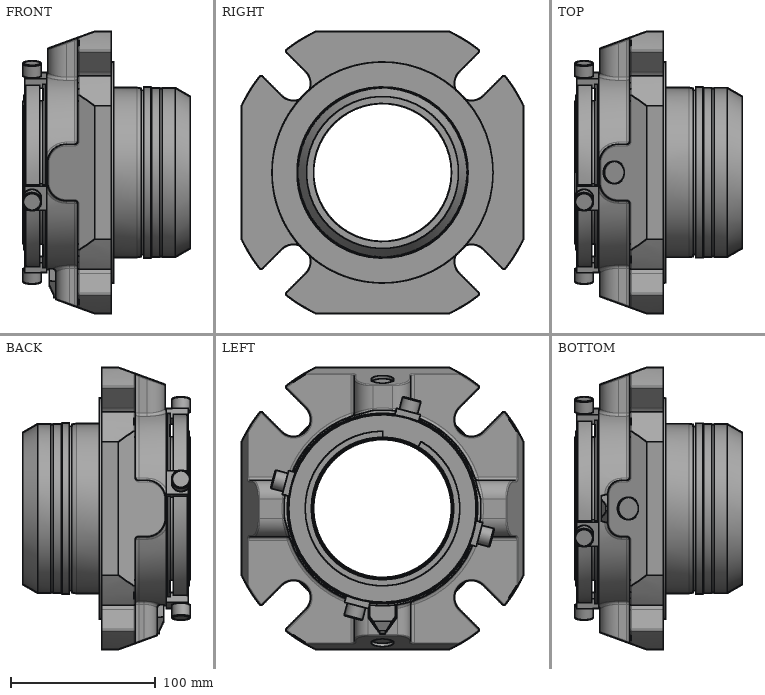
import cadquery as cq
import math

total_length = 116.0
flange_size = 194.8

flange_front = 38.2
flange_back = 61.4
slope_start = 49.7
slope_angle = 20.0
corner_radius = 107.7
edge_round = 1.0
tip_round = 1.2

slot_radius = 11.7
slot_center_radius = 86.9

housing_front = 16.8
housing_radius = 67.2
lip_front = 14.0
lip_back = 15.8
lip_radius = 65.8
lip_groove_radius = 65.0
root_fillet = 2.3

boss_front = 17.3
bottom_boss_front = 23.0
boss_half_width = 19.5
boss_corner_radius = 12.7
bottom_boss_corner_radius = 9.4
boss_inner_radius = 60.4
boss_base = flange_front + 5.8
port_diameter = 15.4
port_depth = 2.3
top_port_x = 27.0
bottom_port_x = 36.8

shield_front = 18.3
shield_half_width = 10.0
shield_shoulder_z = -75.2
shield_tip_z = -86.7
shield_tip_half_width = 1.5
shield_draft = 14.0
shield_bevel_start_z = -78.0
shield_bevel_end_x = 21.5
shield_bevel_end_z = -84.4

bore_radius = 47.5
bore_chamfer = 1.0
sleeve_tip_diameter = 98.4
sleeve_tip_radius = sleeve_tip_diameter / 2
sleeve_diameter = 99.2
sleeve_radius = sleeve_diameter / 2
snap_ring_front = 0.8
snap_ring_radius = 53.4
snap_ring_gap_angle = 30.0
lock_ring_front = 1.4
lock_ring_back = 11.9
lock_ring_radius = 65.0
lock_ring_lead_length = 1.0
lock_ring_lead_radius = 64.7

clip_count = 4
clip_angle = 15.0
clip_width = 17.1
clip_inner_radius = 62.3
clip_outer_radius = 69.4
screw_diameter = 13.0
screw_end_radius = 78.3
screw_chamfer = 0.5

gasket_back = 63.1
gasket_radius = 76.4
tube_diameter = 117.5
tube_radius = tube_diameter / 2
collar_diameter = 118.3
collar_radius = collar_diameter / 2
tube_tail_diameter = 117.0
tube_tail_radius = tube_tail_diameter / 2
tube_chamfer_start = 78.9
tube_chamfer_radius = 58.3
groove_front = 81.8
groove_back = 83.5
groove_radius = 56.9
collar_back = 88.5
tail_start = 89.2
tail_groove_front = 94.7
tail_groove_back = 96.5
tail_groove_diameter = 116.1
tail_groove_radius = tail_groove_diameter / 2
tail_chamfer_start = 105.4
tail_chamfer_angle = 30.0

tolerance = 0.02


def turn(shape, angle):
    """Rotate a shape about the X axis."""
    return shape.rotate((0, 0, 0), (1, 0, 0), angle)


def revolve_x(points):
    """Revolve a closed outline of (x, radius) points about the X axis."""
    return cq.Workplane("XY").polyline(points).close().revolve(360, (0, 0, 0), (1, 0, 0))


def cylinder_x(radius, x_start, x_end):
    """Solid cylinder on the X axis."""
    return cq.Workplane("YZ", origin=(x_start, 0, 0)).circle(radius).extrude(x_end - x_start)


def forward_plane(x):
    """Cross-section plane at x, facing the front end, with Z as its second axis."""
    return cq.Plane(origin=(x, 0, 0), xDir=(0, -1, 0), normal=(-1, 0, 0))


def make_envelope():
    """Square block whose four sides lean inward toward the front."""
    square = cq.Workplane(forward_plane(slope_start)).rect(flange_size, flange_size)
    front = square.extrude(slope_start, taper=slope_angle)
    back = cq.Workplane(forward_plane(flange_back)).rect(flange_size, flange_size)
    return front.union(back.extrude(flange_back - slope_start))


def make_slot():
    """Cutter for one round-ended slot, open toward +Y."""
    return (
        cq.Workplane("YZ", origin=(flange_front, 0, 0))
        .moveTo(flange_size, slot_radius)
        .lineTo(slot_center_radius, slot_radius)
        .threePointArc((slot_center_radius - slot_radius, 0), (slot_center_radius, -slot_radius))
        .lineTo(flange_size, -slot_radius)
        .close()
        .extrude(flange_back - flange_front)
    )


def is_slot_tip(edge):
    """True for an edge along X where a slot runs out through a turned corner."""
    center = edge.Center()
    on_corner = abs(math.hypot(center.y, center.z) - corner_radius) < tolerance
    return on_corner and max(abs(center.y), abs(center.z)) < flange_size / 2 - tolerance


def make_flange(envelope):
    """Flange plate with turned corners and four bolt slots with rounded tips."""
    plate = envelope.intersect(cylinder_x(corner_radius, flange_front, flange_back))
    for index in range(4):
        plate = plate.cut(turn(make_slot(), 45 + 90 * index))
    return plate.edges("|X").filter(is_slot_tip).fillet(tip_round)


def make_boss(front, corner, envelope):
    """Boss pointing to +Z with rounded front corners, trimmed to the sloped side."""
    length = boss_base - front
    height = flange_size / 2 - boss_inner_radius
    block = cq.Workplane("XY").box(length, 2 * boss_half_width, height, centered=(False, True, False))
    block = block.edges("|Z and <X").fillet(corner)
    return block.translate((front, 0, boss_inner_radius)).intersect(envelope)


def in_flange_face(edge):
    """True for an edge that lies in the front face of the flange."""
    box = edge.BoundingBox()
    return abs(box.xmin - flange_front) < tolerance and abs(box.xmax - flange_front) < tolerance


def vertex_radii(edge):
    """Distances of the edge's ends from the X axis."""
    return [math.hypot(vertex.Y, vertex.Z) for vertex in edge.Vertices()]


def is_root_edge(edge):
    """True for an inside edge between housing, bosses and flange."""
    on_housing = all(abs(radius - housing_radius) < tolerance for radius in vertex_radii(edge))
    if on_housing:
        return edge.BoundingBox().xmin > housing_front
    center = edge.Center()
    beside_boss = abs(min(abs(center.y), abs(center.z)) - boss_half_width) < tolerance
    return in_flange_face(edge) and edge.geomType() == "LINE" and beside_boss


def is_slot_or_corner_rim(edge):
    """True for a flange-face edge along a slot or a turned corner."""
    outside_roots = min(vertex_radii(edge)) > housing_radius + root_fillet + tolerance
    if not (in_flange_face(edge) and outside_roots):
        return False
    direction = edge.tangentAt(0)
    along_side = max(abs(direction.y), abs(direction.z)) > 2 - tolerance
    return edge.geomType() != "LINE" or not along_side


def is_side_rim(edge):
    """True for an edge on the front outline of a sloped side, bosses included."""
    return edge.Center().x < flange_front + edge_round


def make_casting():
    """Flange, bosses and housing in one piece, with filleted roots and rounded rims."""
    envelope = make_envelope()
    casting = make_flange(envelope)
    side_boss = make_boss(boss_front, boss_corner_radius, envelope)
    bottom_boss = make_boss(bottom_boss_front, bottom_boss_corner_radius, envelope)
    for index, boss in enumerate((side_boss, side_boss, bottom_boss, side_boss)):
        casting = casting.union(turn(boss, 90 * index))

    casting = casting.union(cylinder_x(housing_radius, lock_ring_back, boss_base))
    casting = casting.edges().filter(is_root_edge).fillet(root_fillet)

    rims = casting.edges().filter(is_slot_or_corner_rim).vals()
    slope = math.radians(slope_angle)
    for index in range(4):
        turned = math.radians(90 * index)
        outward = (math.sin(turned) * math.cos(slope), math.cos(turned) * math.cos(slope))
        normal = cq.Vector(-math.sin(slope), *outward)
        side = casting.faces(cq.selectors.DirectionMinMaxSelector(normal, True))
        rims.extend(side.edges().filter(is_side_rim).vals())
    casting = casting.newObject(rims).fillet(edge_round)

    overhang = cylinder_x(flange_size, 0, housing_front)
    return casting.cut(overhang)


def make_port(x):
    """Shallow round recess, square to the sloped top side."""
    slope = math.radians(slope_angle)
    surface_z = flange_size / 2 - (slope_start - x) * math.tan(slope)
    normal = (-math.sin(slope), 0, math.cos(slope))
    plane = cq.Plane(origin=(x, 0, surface_z), xDir=(0, 1, 0), normal=normal)
    return cq.Workplane(plane).circle(port_diameter / 2).extrude(-port_depth)


def make_shield():
    """Tapered shield plate on the front of the bottom boss, bevelled at its tip."""
    outline = [
        (-shield_half_width, -boss_inner_radius),
        (-shield_half_width, shield_shoulder_z),
        (-shield_tip_half_width, shield_tip_z),
        (shield_tip_half_width, shield_tip_z),
        (shield_half_width, shield_shoulder_z),
        (shield_half_width, -boss_inner_radius),
    ]
    plate = (
        cq.Workplane(forward_plane(bottom_boss_front))
        .polyline(outline)
        .close()
        .extrude(bottom_boss_front - shield_front, taper=shield_draft)
    )
    bevel = (
        cq.Workplane("XZ")
        .polyline([
            (shield_front, shield_bevel_start_z),
            (shield_bevel_end_x, shield_bevel_end_z),
            (shield_bevel_end_x, -flange_size / 2),
            (shield_front, -flange_size / 2),
        ])
        .close()
        .extrude(shield_half_width, both=True)
    )
    return plate.cut(bevel)


def make_lip():
    """Narrow lip in front of the housing, with a groove behind it."""
    lip = cylinder_x(lip_radius, lip_front, lip_back)
    return lip.union(cylinder_x(lip_groove_radius, lip_back, flange_front))


def make_rear():
    """Gasket disc and the stepped tube behind the flange."""
    tail_drop = (total_length - tail_chamfer_start) * math.tan(math.radians(tail_chamfer_angle))
    tail_end_radius = tube_tail_radius - tail_drop
    return revolve_x([
        (flange_front, 0),
        (flange_front, tube_radius),
        (flange_back, tube_radius),
        (flange_back, gasket_radius),
        (gasket_back, gasket_radius),
        (gasket_back, tube_radius),
        (tube_chamfer_start, tube_radius),
        (groove_front, tube_chamfer_radius),
        (groove_front, groove_radius),
        (groove_back, groove_radius),
        (groove_back, collar_radius),
        (collar_back, collar_radius),
        (tail_start, tube_tail_radius),
        (tail_groove_front, tube_tail_radius),
        (tail_groove_front, tail_groove_radius),
        (tail_groove_back, tail_groove_radius),
        (tail_groove_back, tube_tail_radius),
        (tail_chamfer_start, tube_tail_radius),
        (total_length, tail_end_radius),
        (total_length, 0),
    ])


def make_front_rings():
    """Sleeve tip, split snap ring and lock ring."""
    sleeve = cylinder_x(sleeve_tip_radius, 0, lock_ring_front)
    sleeve = sleeve.union(cylinder_x(sleeve_radius, lock_ring_front, flange_front))
    lead_end = lock_ring_front + lock_ring_lead_length
    ring = cylinder_x(lock_ring_lead_radius, lock_ring_front, lead_end)
    ring = ring.union(cylinder_x(lock_ring_radius, lead_end, lock_ring_back))
    snap_ring = cylinder_x(snap_ring_radius, snap_ring_front, lock_ring_front)
    gap_reach = 2 * snap_ring_radius
    gap = (
        cq.Workplane("YZ")
        .polyline([
            (0, 0),
            (0, gap_reach),
            (-gap_reach * math.tan(math.radians(snap_ring_gap_angle)), gap_reach),
        ])
        .close()
        .extrude(lock_ring_front)
    )
    return ring.union(snap_ring.cut(gap)).union(sleeve)


def make_clip():
    """Clip block with its screw, pointing to +Z."""
    length = housing_front - lock_ring_front
    height = clip_outer_radius - clip_inner_radius
    block = cq.Workplane("XY").box(length, clip_width, height, centered=(False, True, False))
    block = block.translate((lock_ring_front, 0, clip_inner_radius))
    block = block.cut(cylinder_x(lock_ring_radius, lock_ring_front, lock_ring_back))
    screw = (
        cq.Workplane("XY", origin=(screw_diameter / 2, 0, clip_outer_radius))
        .circle(screw_diameter / 2)
        .extrude(screw_end_radius - clip_outer_radius)
        .faces(">Z")
        .edges()
        .chamfer(screw_chamfer)
    )
    return block.union(screw)


body = make_casting().union(make_shield())
body = body.cut(make_port(top_port_x)).cut(turn(make_port(bottom_port_x), 180))

body = body.union(make_lip()).union(make_rear()).union(make_front_rings())
for index in range(clip_count):
    body = body.union(turn(make_clip(), clip_angle + index * 360 / clip_count))

bore = cylinder_x(bore_radius, 0, total_length)
bore_mouth = revolve_x([
    (0, 0),
    (0, bore_radius + bore_chamfer),
    (bore_chamfer, bore_radius),
    (bore_chamfer, 0),
])
result = body.cut(bore).cut(bore_mouth)